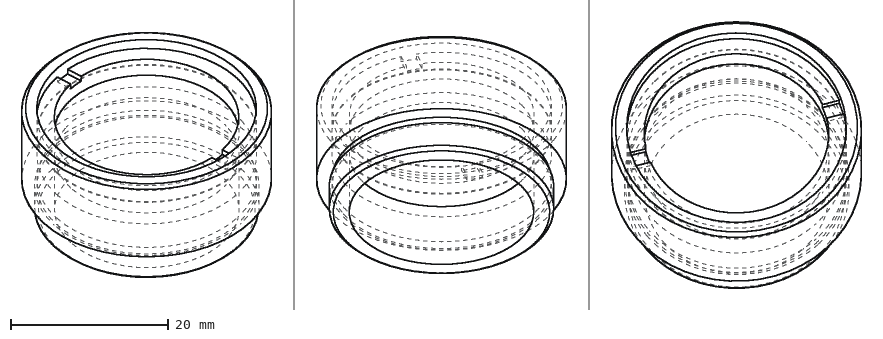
import cadquery as cq
import math

height = 16.5
outer_radius = 15.88
spigot_radius = 14.25
neck_radius = 13.95
shoulder_z = 5.05
neck_height = 1.05
neck_z = shoulder_z - neck_height
edge_chamfer = 0.5

bore_radius = 13.95
seat_z = 8.9
clear_radius = 11.72

ring_recess = 1.43
ring_thickness = 2.57
ring_top_z = height - ring_recess
ring_bottom_z = ring_top_z - ring_thickness
slot_width = 2.05
slot_depth = 0.75

dome_rise = 0.32
dome_radius = (clear_radius**2 + dome_rise**2) / (2 * dome_rise)
dome_top_z = ring_bottom_z + dome_rise
dome_center_z = dome_top_z - dome_radius


def dome_height(radius):
    """Height of the spherical lens face at a given distance from the axis."""
    return dome_center_z + math.sqrt(dome_radius**2 - radius**2)


def revolve_about_z(profile):
    """Revolve a closed radius-height profile, drawn on XZ, about the Z axis."""
    return profile.revolve(360, (0, 0, 0), (0, 1, 0))


def make_housing():
    """Stepped tube with chamfered ends, a relief neck and an internal lens seat."""
    profile = cq.Workplane("XZ").polyline([
        (clear_radius, 0),
        (spigot_radius - edge_chamfer, 0),
        (spigot_radius, edge_chamfer),
        (spigot_radius, neck_z),
        (neck_radius, neck_z),
        (neck_radius, shoulder_z),
        (outer_radius, shoulder_z),
        (outer_radius, height - edge_chamfer),
        (outer_radius - edge_chamfer, height),
        (bore_radius, height),
        (bore_radius, seat_z),
        (clear_radius, seat_z),
    ]).close()
    return revolve_about_z(profile)


def make_lens():
    """Plano-convex disc resting on the seat of the housing."""
    middle_radius = bore_radius / 2
    profile = (
        cq.Workplane("XZ")
        .moveTo(0, seat_z)
        .lineTo(bore_radius, seat_z)
        .lineTo(bore_radius, dome_height(bore_radius))
        .threePointArc((middle_radius, dome_height(middle_radius)), (0, dome_top_z))
        .close()
    )
    return revolve_about_z(profile)


def make_retaining_ring():
    """Flat ring with a spanner slot across its top face on the X axis."""
    ring = (
        cq.Workplane("XY", origin=(0, 0, ring_bottom_z))
        .circle(bore_radius)
        .circle(clear_radius)
        .extrude(ring_thickness)
    )
    slot = (
        cq.Workplane("XY", origin=(0, 0, ring_top_z - slot_depth))
        .rect(2 * outer_radius, slot_width)
        .extrude(slot_depth)
    )
    return ring.cut(slot)


housing = make_housing()
lens = make_lens()
retaining_ring = make_retaining_ring()

result = cq.Compound.makeCompound([
    housing.val(),
    lens.val(),
    retaining_ring.val(),
])